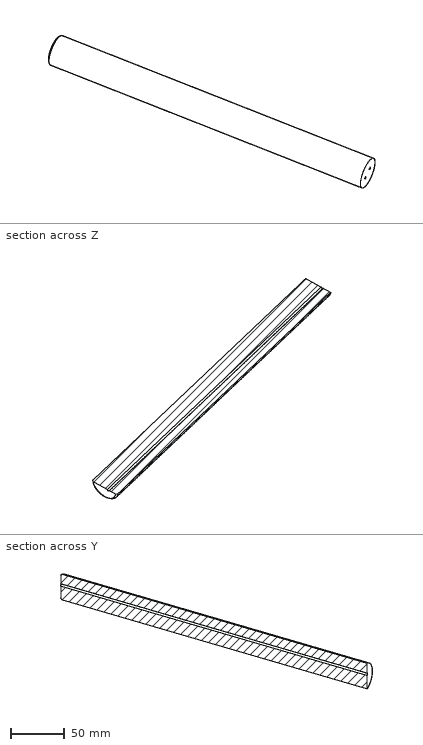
import cadquery as cq

rod_length = 330.0
rod_diameter = 30.0
end_chamfer = 1.5

hole_count = 2
hole_diameter = 2.1
hole_circle_radius = 5.0
hole_angle = 23.0


def make_rod():
    """Round bar along X, starting at X = 0, with its -X end chamfered."""
    rod = cq.Workplane("YZ").circle(rod_diameter / 2).extrude(rod_length)
    return rod.faces("<X").chamfer(end_chamfer)


def make_hole_cutters():
    """Long cylinders for the holes, evenly spaced on a circle about the rod axis."""
    full_turn = 360
    return (
        cq.Workplane("YZ")
        .polarArray(hole_circle_radius, hole_angle, full_turn, hole_count)
        .circle(hole_diameter / 2)
        .extrude(rod_length)
    )


result = make_rod().cut(make_hole_cutters())